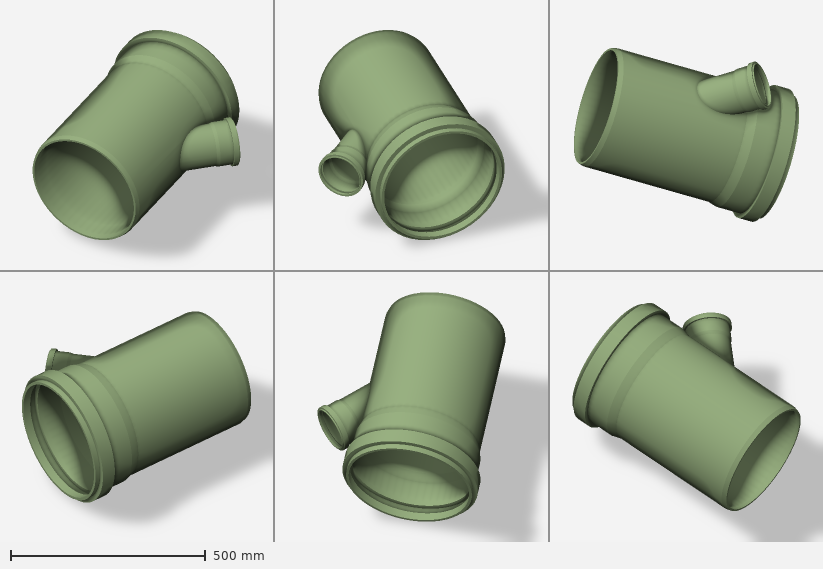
import cadquery as cq

length = 496.0
pipe_d = 316.0
bore_d = 298.0
spigot_tip_d = 308.5
spigot_chamfer = 13.0
flare_start = 357.0
flare_end = 382.0
socket_d = 330.0
socket_bore_d = 316.0
collar_start = 444.5
collar_end = 481.5
collar_d = 354.5
seal_groove_d = 341.0
collar_wall = (collar_d - seal_groove_d) / 2

branch_angle = 45.0
branch_origin_y = 136.5
branch_length = 327.5
branch_d = 110.5
branch_bore_d = 103.5
branch_flare_start = 266.0
branch_flare_end = 275.0
branch_socket_d = 115.5
branch_socket_bore_d = 111.0
branch_collar_start = 310.5
branch_collar_end = 324.0
branch_collar_d = 126.0
branch_groove_d = 121.0
branch_collar_wall = (branch_collar_d - branch_groove_d) / 2


def turned(stations):
    """Revolve (position along Y, diameter) stations into a solid about Y."""
    outline = [(diameter / 2, position) for position, diameter in stations]
    first, last = stations[0][0], stations[-1][0]
    points = [(0, first)] + outline + [(0, last)]
    return cq.Workplane("XY").polyline(points).close().revolve(360, (0, 0), (0, 1))


def place_branch(body):
    """Lean a body turned about Y towards +X and move it to the branch origin."""
    lean = branch_angle - 90
    return body.rotate((0, 0, 0), (0, 0, 1), lean).translate((0, branch_origin_y, 0))


def socket_stations(flare_from, flare_to, collar_from, collar_to, end, pipe, socket, collar):
    """Stations of a pipe that widens to a socket with a raised collar."""
    return [
        (flare_from, pipe),
        (flare_to, socket),
        (collar_from, socket),
        (collar_from, collar),
        (collar_to, collar),
        (collar_to, socket),
        (end, socket),
    ]


main_outside = turned(
    [(0, spigot_tip_d), (spigot_chamfer, pipe_d)]
    + socket_stations(
        flare_start, flare_end, collar_start, collar_end, length,
        pipe_d, socket_d, collar_d,
    )
)
main_inside = turned(
    [(0, bore_d)]
    + socket_stations(
        flare_start, flare_end, collar_start + collar_wall, collar_end - collar_wall, length,
        bore_d, socket_bore_d, seal_groove_d,
    )
)

branch_outside = place_branch(turned(
    [(0, branch_d)]
    + socket_stations(
        branch_flare_start, branch_flare_end, branch_collar_start, branch_collar_end, branch_length,
        branch_d, branch_socket_d, branch_collar_d,
    )
))

branch_inside = place_branch(turned(
    [(0, branch_bore_d)]
    + socket_stations(
        branch_flare_start, branch_flare_end,
        branch_collar_start + branch_collar_wall, branch_collar_end - branch_collar_wall, branch_length,
        branch_bore_d, branch_socket_bore_d, branch_groove_d,
    )
))

result = main_outside.union(branch_outside).cut(main_inside).cut(branch_inside)